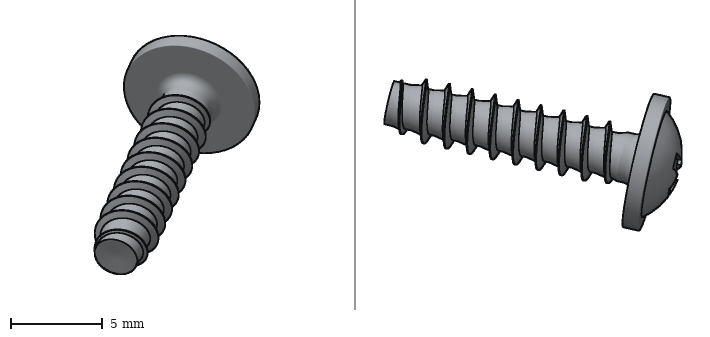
import cadquery as cq
import math


flange_radius = 3.75
flange_thickness = 0.9
flange_edge_round = 0.05
dome_base_radius = 2.99
dome_apex_y = 2.36
slot_width = 0.87
slot_floor_y = 2.05

shank_length = 14.0
neck_radius = 1.37
neck_fillet = 0.5
neck_end_depth = 0.88
taper_end_depth = 1.41
root_radius = 1.215
tip_dimple_radius = 1.09
tip_dimple_depth = 0.08

pitch = 1.289
major_radius = 1.75
first_crest_depth = 0.461
crest_width = 0.06
head_flank_slope = 0.365
tip_flank_slope = 0.34
shoulder_radius = 1.335
core_taper = 0.2
core_taper_end = 0.9
buried_radius = 0.9
points_per_turn = 24

run_in_start = (0.2, 1.345, shoulder_radius)
full_start = (2.07, major_radius, shoulder_radius)
full_end = (12.1, major_radius, shoulder_radius)
run_out_middle = (12.75, 1.6, shoulder_radius)
run_out_end = (shank_length + 0.2, 1.15, 1.13)
thread_stations = [run_in_start, full_start, full_end, run_out_middle, run_out_end]


def make_head_and_shank():
    dome_height = dome_apex_y - flange_thickness
    dome_sphere_radius = (dome_base_radius**2 + dome_height**2) / (2 * dome_height)
    mid_radius = dome_base_radius / 2
    mid_y = dome_apex_y - dome_sphere_radius + math.sqrt(dome_sphere_radius**2 - mid_radius**2)

    fillet_outer = neck_radius + neck_fillet
    fillet_offset = neck_fillet * (1 - math.sqrt(0.5))
    face_radius = flange_radius - flange_edge_round
    round_offset = flange_edge_round * (1 - math.sqrt(0.5))
    round_mid_radius = flange_radius - round_offset
    outline = (
        cq.Workplane("XY")
        .moveTo(0, dome_apex_y)
        .threePointArc((mid_radius, mid_y), (dome_base_radius, flange_thickness))
        .lineTo(face_radius, flange_thickness)
        .threePointArc(
            (round_mid_radius, flange_thickness - round_offset),
            (flange_radius, flange_thickness - flange_edge_round),
        )
        .lineTo(flange_radius, flange_edge_round)
        .threePointArc((round_mid_radius, round_offset), (face_radius, 0))
        .lineTo(fillet_outer, 0)
        .threePointArc((neck_radius + fillet_offset, -fillet_offset), (neck_radius, -neck_fillet))
        .lineTo(neck_radius, -neck_end_depth)
        .lineTo(root_radius, -taper_end_depth)
        .lineTo(root_radius, -shank_length)
        .lineTo(0, -shank_length)
        .close()
    )
    return outline.revolve(360, (0, 0, 0), (0, 1, 0))


def thread_profile(crest_r, shoulder_r):
    """Closed axial section as (distance from crest towards the tip, radius) corners."""
    half_crest = crest_width / 2
    head_foot = -half_crest - (crest_r - buried_radius) * head_flank_slope
    shoulder = half_crest + (crest_r - shoulder_r) * tip_flank_slope
    taper_end_radius = shoulder_r - (core_taper_end - shoulder) * core_taper
    return [
        (head_foot, buried_radius),
        (-half_crest, crest_r),
        (half_crest, crest_r),
        (shoulder, shoulder_r),
        (core_taper_end, taper_end_radius),
        (core_taper_end, buried_radius),
    ]


def section_at(depth, crest_r, shoulder_r):
    """Corner points of the thread section whose crest lies at the given depth (right-hand helix)."""
    angle = 2 * math.pi * (depth - first_crest_depth) / pitch
    return [
        cq.Vector(-radius * math.sin(angle), -(depth + along), radius * math.cos(angle))
        for along, radius in thread_profile(crest_r, shoulder_r)
    ]


def stretch_faces(start, end):
    """Ruled helical faces between two stations, all station values changing linearly."""
    turns = (end[0] - start[0]) / pitch
    steps = math.ceil(turns * points_per_turn)
    sections = []
    for step in range(steps + 1):
        part = step / steps
        station = [first + part * (last - first) for first, last in zip(start, end)]
        sections.append(section_at(*station))
    rails = [cq.Edge.makeSpline(list(corner_path)) for corner_path in zip(*sections)]
    next_rails = rails[1:] + rails[:1]
    return [cq.Face.makeRuledSurface(rail, following) for rail, following in zip(rails, next_rails)]


def end_face(station):
    return cq.Face.makeFromWires(cq.Wire.makePolygon(section_at(*station), close=True))


def make_thread():
    faces = [end_face(thread_stations[0]), end_face(thread_stations[-1])]
    for start, end in zip(thread_stations, thread_stations[1:]):
        faces.extend(stretch_faces(start, end))
    body = cq.Workplane(cq.Solid.makeSolid(cq.Shell.makeShell(faces)).fix())

    threaded_length = shank_length - neck_end_depth
    threaded_zone = (
        cq.Workplane("XZ", origin=(0, -neck_end_depth, 0)).circle(flange_radius).extrude(threaded_length)
    )
    return body.intersect(threaded_zone)


def make_cross_slots():
    slot_length = 2 * flange_radius
    slot_height = 2 * (dome_apex_y - slot_floor_y)
    slot_center = (0, slot_floor_y + slot_height / 2, 0)
    along_x = cq.Workplane("XY").box(slot_length, slot_height, slot_width)
    along_z = cq.Workplane("XY").box(slot_width, slot_height, slot_length)
    return along_x.union(along_z).translate(slot_center)


def make_tip_dimple():
    cone = cq.Solid.makeCone(
        tip_dimple_radius, 0, tip_dimple_depth, pnt=cq.Vector(0, -shank_length, 0), dir=cq.Vector(0, 1, 0)
    )
    return cq.Workplane(cone)


screw = make_head_and_shank().union(make_thread())
result = screw.cut(make_cross_slots()).cut(make_tip_dimple())